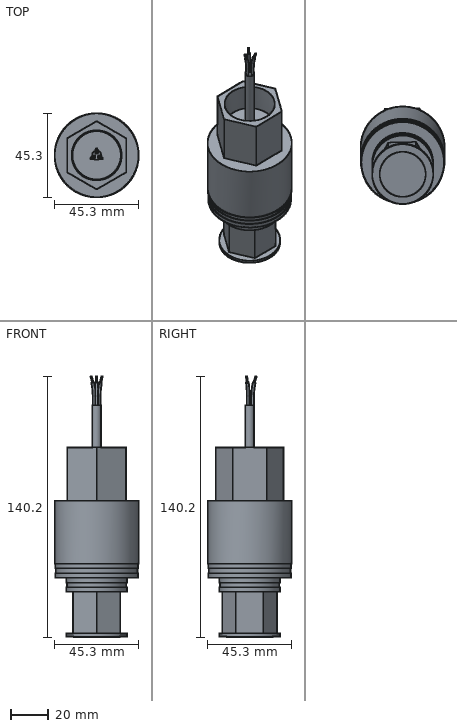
import cadquery as cq
import math

total_height = 140.2
boss_height = 0.4
flange_thickness = 1.7
lower_hex_height = 22.3
ring_height = 2.5

boss_radius = 12.3
flange_radius = 16.4
lower_hex_flats = 25.5
small_groove_radius = 16.0
large_ring_radius = 22.3
large_groove_radius = 22.0
rings_per_stack = 3

barrel_radius = 45.3 / 2
barrel_height = 34.0
upper_hex_flats = 31.7
upper_hex_height = 28.6
bore_depth = 15.3
bore_mouth_radius = 13.5
bore_floor_radius = 26.0 / 2

jacket_radius = 4.9 / 2
jacket_top = 124.7
wire_count = 3
wire_circle_radius = 3.2 / 2
wire_radius = 0.79
wire_straight_length = 5.0
conductor_radius = 0.39
bend_radius = 30.9
stripped_length = 3.5

hex_bottom = boss_height + flange_thickness
small_stack_bottom = hex_bottom + lower_hex_height
large_stack_bottom = small_stack_bottom + rings_per_stack * ring_height
housing_bottom = large_stack_bottom + rings_per_stack * ring_height
barrel_top = housing_bottom + barrel_height
housing_top = barrel_top + upper_hex_height
bore_floor = housing_top - bore_depth
bend_start = jacket_top + wire_straight_length


def cylinder(radius, bottom, height):
    return cq.Workplane("XY").workplane(offset=bottom).circle(radius).extrude(height)


def hexagon(across_flats, bottom, height):
    """Hexagonal prism with two corners on the Y axis."""
    corner_diameter = across_flats / math.cos(math.pi / 6)
    prism = cq.Workplane("XY").workplane(offset=bottom).polygon(6, corner_diameter).extrude(height)
    return prism.rotate((0, 0, 0), (0, 0, 1), 90)


def grooved_stack(ring_radius, groove_radius, bottom):
    """Two rings with a shallow groove between them."""
    stack = cylinder(groove_radius, bottom, rings_per_stack * ring_height)
    for level in (0, rings_per_stack - 1):
        stack = stack.union(cylinder(ring_radius, bottom + level * ring_height, ring_height))
    return stack


def make_fitting():
    fitting = cylinder(boss_radius, 0, boss_height)
    fitting = fitting.union(cylinder(flange_radius, boss_height, flange_thickness))
    fitting = fitting.union(hexagon(lower_hex_flats, hex_bottom, lower_hex_height))
    fitting = fitting.union(grooved_stack(flange_radius, small_groove_radius, small_stack_bottom))
    return fitting.union(grooved_stack(large_ring_radius, large_groove_radius, large_stack_bottom))


def make_housing():
    barrel = cylinder(barrel_radius, housing_bottom, barrel_height)
    housing = barrel.union(hexagon(upper_hex_flats, barrel_top, upper_hex_height))
    tapered_bore = cq.Workplane(
        cq.Solid.makeCone(
            bore_floor_radius, bore_mouth_radius, bore_depth, pnt=cq.Vector(0, 0, bore_floor)
        )
    )
    return housing.cut(tapered_bore)


def bent_rod(radius, bend_angle):
    """Rod that leaves bend_start upward and bends outward, toward +X, by bend_angle."""
    profile = cq.Workplane("XY").workplane(offset=bend_start).center(wire_circle_radius, 0)
    return profile.circle(radius).revolve(
        math.degrees(bend_angle), (bend_radius, 0), (bend_radius, 1)
    )


def make_wire():
    tip_angle = math.asin((total_height - bend_start) / (bend_radius + conductor_radius))
    insulation_angle = tip_angle - stripped_length / bend_radius
    straight = cylinder(wire_radius, jacket_top, wire_straight_length)
    wire = straight.translate((wire_circle_radius, 0, 0))
    wire = wire.union(bent_rod(wire_radius, insulation_angle))
    return wire.union(bent_rod(conductor_radius, tip_angle))


def make_cable():
    cable = cylinder(jacket_radius, bore_floor, jacket_top - bore_floor)
    wire = make_wire()
    for index in range(wire_count):
        angle = 90 + index * 360 / wire_count
        cable = cable.union(wire.rotate((0, 0, 0), (0, 0, 1), angle))
    return cable


fitting = make_fitting()
housing = make_housing()
cable = make_cable()

result = cq.Compound.makeCompound([fitting.val(), housing.val(), cable.val()])